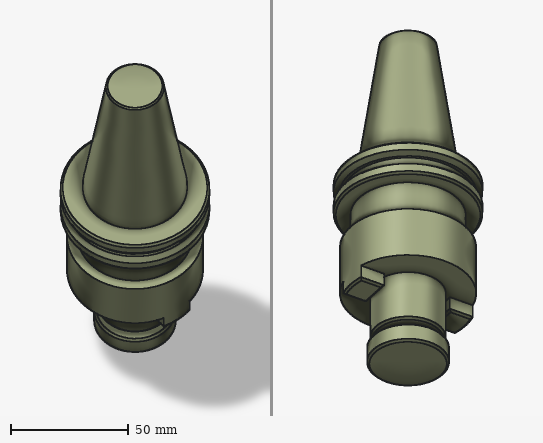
import cadquery as cq

total_height = 164.4
knob_top = 9.2
pilot_bottom = 12.5
key_bottom = 29.5
body_bottom = 36.3
body_top = 60.2
flange_bottom = 77.0
groove_lower_rim = 81.7
groove_floor_bottom = 83.4
groove_floor_top = 87.3
groove_upper_rim = 89.0
flange_top = 93.4
gauge_line = 96.0

knob_diameter = 35.0
stem_diameter = 12.3
pilot_diameter = 32.2
body_diameter = 58.2
neck_diameter = 49.2
flange_diameter = 63.6
groove_wall_diameter = 58.9
groove_floor_diameter = 56.2
gauge_diameter = 44.5

taper_ratio = 7 / 24
taper_top_diameter = gauge_diameter - taper_ratio * (total_height - gauge_line)

edge_chamfer = 1.0
taper_tip_chamfer = 0.7
key_width = 14.3
key_inner_offset = 16.6


def cylinder(diameter, bottom, top):
    return cq.Workplane("XY").workplane(offset=bottom).circle(diameter / 2).extrude(top - bottom)


def make_shank():
    """Gauge cylinder with the long tool taper above it."""
    gauge = cylinder(gauge_diameter, flange_top, gauge_line)
    taper = (
        cq.Workplane("XY")
        .workplane(offset=gauge_line)
        .circle(gauge_diameter / 2)
        .workplane(offset=total_height - gauge_line)
        .circle(taper_top_diameter / 2)
        .loft(ruled=True)
        .faces(">Z")
        .chamfer(taper_tip_chamfer)
    )
    return gauge.union(taper)


def make_flange():
    """Chamfered flange with a gripper groove that has sloping walls."""
    flange = cylinder(flange_diameter, flange_bottom, flange_top).faces("<Z or >Z").chamfer(edge_chamfer)
    rim_radius = flange_diameter / 2
    wall_radius = groove_wall_diameter / 2
    floor_radius = groove_floor_diameter / 2
    groove = (
        cq.Workplane("XZ")
        .moveTo(rim_radius, groove_lower_rim)
        .lineTo(wall_radius, groove_floor_bottom)
        .lineTo(floor_radius, groove_floor_bottom)
        .lineTo(floor_radius, groove_floor_top)
        .lineTo(wall_radius, groove_floor_top)
        .lineTo(rim_radius, groove_upper_rim)
        .close()
        .revolve(360, (0, 0, 0), (0, 1, 0))
    )
    return flange.cut(groove)


def make_drive_key(side):
    """Drive key under the body, on the +X side (side=1) or the -X side (side=-1)."""
    key_length = body_diameter / 2 - key_inner_offset
    block = (
        cq.Workplane("XY")
        .box(key_length, key_width, body_top - key_bottom)
        .translate((side * (key_inner_offset + key_length / 2), 0, (key_bottom + body_top) / 2))
    )
    key = block.intersect(cylinder(body_diameter, key_bottom, body_top))
    return key.faces("<Z").chamfer(edge_chamfer)


def make_pilot():
    return cylinder(pilot_diameter, pilot_bottom, body_bottom).faces("<Z").chamfer(edge_chamfer)


def make_screw():
    """Clamping screw: thin stem and chamfered knob."""
    knob = cylinder(knob_diameter, 0, knob_top).faces("<Z or >Z").chamfer(edge_chamfer)
    return knob.union(cylinder(stem_diameter, knob_top, pilot_bottom))


result = make_flange().union(make_shank())
result = result.union(cylinder(neck_diameter, body_top, flange_bottom))
result = result.union(cylinder(body_diameter, body_bottom, body_top))
for side in (-1, 1):
    result = result.union(make_drive_key(side))
result = result.union(make_pilot()).union(make_screw())